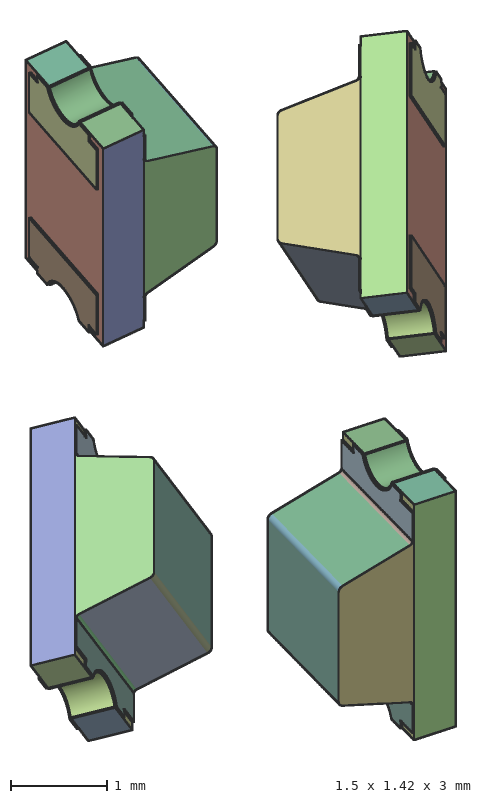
import cadquery as cq
import math


LENGTH = 3.0
WIDTH = 1.5
DEPTH = 1.42

FOIL = 0.0195
PAD_MARGIN = 0.1
PAD_REACH = 0.7
NECK_RADIUS = 0.5

NOTCH_RADIUS = 0.3
NOTCH_SETBACK = 0.1

LENS_HEIGHT = 0.9
LENS_TOP_LENGTH = 1.5
LENS_SLOPE = 16.4
LENS_TOP_FILLET = 0.065
LENS_ROOT_FILLET = 0.042

HALF_LENGTH = LENGTH / 2
BOARD_THICKNESS = DEPTH - LENS_HEIGHT - FOIL
BOARD_FRONT = -BOARD_THICKNESS / 2
BOARD_BACK = BOARD_THICKNESS / 2
PLATED_FRONT = BOARD_FRONT - FOIL
PLATED_BACK = BOARD_BACK + FOIL
LENS_TOP = BOARD_BACK + LENS_HEIGHT
NOTCH_AXIS = HALF_LENGTH + NOTCH_SETBACK
HOLE_RADIUS = NOTCH_RADIUS + FOIL

slope_angle = math.radians(LENS_SLOPE)
LENS_ROOT_HALF = LENS_TOP_LENGTH / 2 + (LENS_TOP - PLATED_BACK) * math.tan(slope_angle)
FILLET_RUNOUT = LENS_ROOT_FILLET * math.tan((math.pi / 2 - slope_angle) / 2)
LENS_BASE_HALF = LENS_ROOT_HALF + FILLET_RUNOUT
BACK_PAD_REACH = HALF_LENGTH - LENS_BASE_HALF


def block(width, y_start, y_end, z_start, z_end):
    """Box centred on X = 0 between the given Y and Z limits."""
    return cq.Workplane("XY").box(width, y_end - y_start, z_end - z_start).translate(
        (0, (y_start + y_end) / 2, (z_start + z_end) / 2)
    )


def rod(radius, z_axis, y_start, y_end):
    """Cylinder parallel to Y with its axis at X = 0 and the given Z."""
    return (
        cq.Workplane("XZ", origin=(0, y_start, 0))
        .center(0, z_axis)
        .circle(radius)
        .extrude(y_start - y_end)
    )


def make_board():
    """Rectangular board with a round notch in each end."""
    board = block(WIDTH, BOARD_FRONT, BOARD_BACK, -HALF_LENGTH, HALF_LENGTH)
    for end in (1, -1):
        board = board.cut(rod(HOLE_RADIUS, end * NOTCH_AXIS, BOARD_FRONT, BOARD_BACK))
    return board


def root_fillet(end):
    """Concave fillet between a lens slope and the pad face, at the +Z (1) or -Z (-1) end."""
    slope_y = PLATED_BACK + FILLET_RUNOUT * math.cos(slope_angle)
    slope_z = LENS_ROOT_HALF - FILLET_RUNOUT * math.sin(slope_angle)
    return (
        cq.Workplane("YZ", origin=(-WIDTH / 2, 0, 0))
        .moveTo(PLATED_BACK, end * LENS_ROOT_HALF)
        .lineTo(PLATED_BACK, end * LENS_BASE_HALF)
        .radiusArc((slope_y, end * slope_z), -end * LENS_ROOT_FILLET)
        .close()
        .extrude(WIDTH)
    )


def make_lens():
    """Lens as wide as the board, sloping at both ends and filling the gap between the back pads."""
    body = (
        cq.Workplane("YZ", origin=(-WIDTH / 2, 0, 0))
        .moveTo(PLATED_BACK, LENS_ROOT_HALF)
        .lineTo(LENS_TOP, LENS_TOP_LENGTH / 2)
        .lineTo(LENS_TOP, -LENS_TOP_LENGTH / 2)
        .lineTo(PLATED_BACK, -LENS_ROOT_HALF)
        .close()
        .extrude(WIDTH)
        .edges("|X and >Y")
        .fillet(LENS_TOP_FILLET)
    )
    foot = block(WIDTH, BOARD_BACK, PLATED_BACK, -LENS_BASE_HALF, LENS_BASE_HALF)
    for end in (1, -1):
        body = body.union(root_fillet(end))
    return body.union(foot)


def make_pad(width, reach, y_start, y_end):
    """Pad at the +Z end: a rectangle set back from the board end, with a neck reaching the end."""
    pad_end = HALF_LENGTH - PAD_MARGIN
    rectangle = block(width, y_start, y_end, HALF_LENGTH - reach, pad_end)
    neck_zone = block(WIDTH, y_start, y_end, pad_end, HALF_LENGTH)
    neck = rod(NECK_RADIUS, HALF_LENGTH, y_start, y_end).intersect(neck_zone)
    return rectangle.union(neck)


def notch_cutter():
    """Space inside the plated notch, flaring at both faces to round the plating edges."""
    profile = (
        cq.Workplane("XY")
        .moveTo(0, PLATED_FRONT)
        .lineTo(HOLE_RADIUS, PLATED_FRONT)
        .radiusArc((NOTCH_RADIUS, BOARD_FRONT), -FOIL)
        .lineTo(NOTCH_RADIUS, BOARD_BACK)
        .radiusArc((HOLE_RADIUS, PLATED_BACK), -FOIL)
        .lineTo(0, PLATED_BACK)
        .close()
    )
    return profile.revolve(360, (0, 0, 0), (0, 1, 0)).translate((0, 0, NOTCH_AXIS))


def make_terminal():
    """Plating at the +Z end: solder pad, notch lining and back pad in one piece."""
    solder_pad = make_pad(WIDTH - 2 * PAD_MARGIN, PAD_REACH, PLATED_FRONT, BOARD_FRONT)
    back_pad = make_pad(WIDTH, BACK_PAD_REACH, BOARD_BACK, PLATED_BACK)
    board_end = block(WIDTH, BOARD_FRONT, BOARD_BACK, 0, HALF_LENGTH)
    lining = rod(HOLE_RADIUS, NOTCH_AXIS, BOARD_FRONT, BOARD_BACK).intersect(board_end)
    return solder_pad.union(lining).union(back_pad).cut(notch_cutter())


board = make_board()
lens = make_lens()
upper_terminal = make_terminal()
terminals = [upper_terminal.rotate((0, 0, 0), (0, 1, 0), turn) for turn in (0, 180)]

result = cq.Compound.makeCompound(
    [board.val(), lens.val(), *[terminal.val() for terminal in terminals]]
)